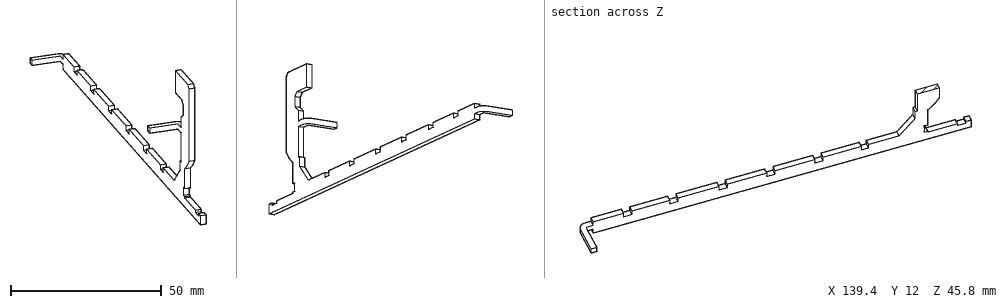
import cadquery as cq

thickness = 2.1
length = 139.4
height = 45.8
depth = 12.0
bar_left = 4.6
bar_top = 5.5

notch_floor = 3.8
notch_width = 2.9
notch_starts = [15.5, 31.9, 49.5, 66.5, 83.6]
last_notch_start = 100.2
last_notch_width = 2.5

hook_left = 114.7
hook_bottom = 37.8
arm_right = 128.1
arm_left = 120.1
corner_chamfer = 1.1
throat_right = 122.4
throat_chamfer = 1.4
throat_bottom = 32.9
throat_slope_bottom = 31.1
shoulder_left = 119.3
shoulder_top = 14.9
shoulder_bottom = 11.5
brace_left = 113.6
neck_right = 123.9
neck_top = 14.0
arm_slope_top = 18.4
arm_slope_mid = (126.4, 16.2)

relief_left = 122.6
relief_top = 6.7
relief_bottom = 3.8
foot_top = 3.3
foot_notch_start = 134.5
foot_notch_end = 137.4
foot_notch_floor = 2.5

tab_height = 2.0
lower_tab_bottom = 1.8
upper_tab_left = 115.1
upper_tab_bottom = 25.5
inner_bend_radius = 0.3
outer_bend_radius = inner_bend_radius + thickness
tab_overlap = 0.7


def plate():
    outline = [
        (bar_left, 0),
        (length, 0),
        (length, foot_top),
        (foot_notch_end, foot_top),
        (foot_notch_end, foot_notch_floor),
        (foot_notch_start, foot_notch_floor),
        (foot_notch_start, foot_top),
        (neck_right, foot_top),
        (neck_right, relief_bottom),
        (relief_left, relief_bottom),
        (relief_left, relief_top),
        (neck_right, relief_top),
        (neck_right, neck_top),
        arm_slope_mid,
        (arm_right, arm_slope_top),
        (arm_right, height - corner_chamfer),
        (arm_right - corner_chamfer, height),
        (hook_left, height),
        (hook_left, hook_bottom),
        (throat_right - throat_chamfer, hook_bottom),
        (throat_right, hook_bottom - throat_chamfer),
        (throat_right, throat_bottom),
        (arm_left, throat_slope_bottom),
        (arm_left, shoulder_top),
        (shoulder_left, shoulder_top),
        (shoulder_left, shoulder_bottom),
        (brace_left, bar_top),
        (bar_left, bar_top),
    ]
    return cq.Workplane("XZ").polyline(outline).close().extrude(thickness)


def notch(start, width):
    return cq.Workplane("XY").box(width, thickness, bar_top - notch_floor, centered=False).translate(
        (start, -thickness, notch_floor)
    )


def bent_tab(left, root, bottom):
    """L-shaped tab running left from root, then bending forward at X = left."""
    inner_left = left + thickness
    bend_end = left + outer_bend_radius
    return (
        cq.Workplane("XY", origin=(0, 0, bottom))
        .moveTo(root, 0)
        .lineTo(bend_end, 0)
        .radiusArc((left, -outer_bend_radius), -outer_bend_radius)
        .lineTo(left, -depth)
        .lineTo(inner_left, -depth)
        .lineTo(inner_left, -outer_bend_radius)
        .radiusArc((bend_end, -thickness), inner_bend_radius)
        .lineTo(root, -thickness)
        .close()
        .extrude(tab_height)
    )


result = plate()
for notch_start in notch_starts:
    result = result.cut(notch(notch_start, notch_width))
result = result.cut(notch(last_notch_start, last_notch_width))
result = result.union(bent_tab(0, bar_left + tab_overlap, lower_tab_bottom))
result = result.union(bent_tab(upper_tab_left, arm_left + tab_overlap, upper_tab_bottom))